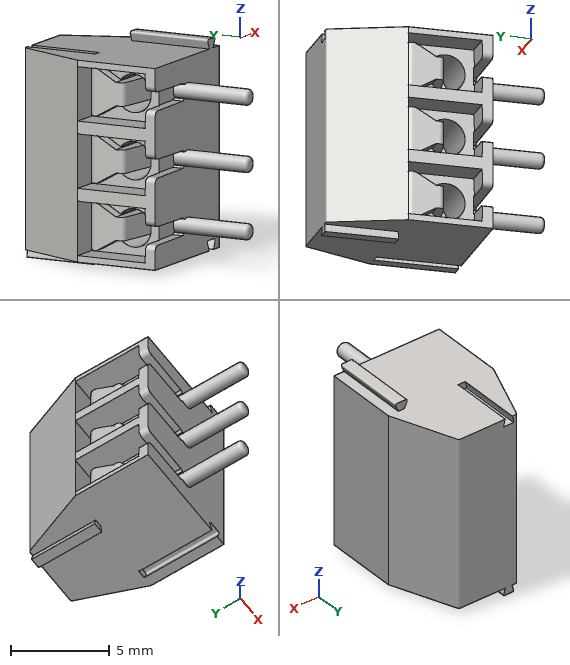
import cadquery as cq
import math


pole_count = 3
body_width = 6.8
body_height = 10.5
pole_pitch = body_height / pole_count
body_length = 8.42
total_length = 12.1
shoulder_y = 4.51
nose_width = 3.75
nose_radius = 0.15
left_x = -body_width / 2

pocket_depth = 1.5
pocket_height = 2.83
pocket_wall = 0.59
pocket_bulge = 0.042

hole_radius = 1.0
hole_y = 2.06

leaf_front_x = left_x + 0.87
leaf_end_y = 4.32
leaf_end_radius = 0.34
leaf_bend_y = 2.59
leaf_bend_radius = 0.29
leaf_slope = math.radians(8)
leaf_tip_y = 1.82
leaf_wide_height = 2.5
leaf_narrow_height = 1.22
leaf_fan_start_y = 3.88
leaf_fan_end_y = 2.76

bend_centre_x = leaf_front_x + leaf_bend_radius
bend_end_x = bend_centre_x - leaf_bend_radius * math.sin(leaf_slope)
bend_end_y = leaf_bend_y - leaf_bend_radius * math.cos(leaf_slope)
hole_bottom_x = bend_end_x + (bend_end_y - leaf_tip_y) / math.tan(leaf_slope)

slot_mouth_height = 0.98
slot_inner_height = 0.92
slot_lip_radius = 0.29
slot_shoulder_x = -0.46
slot_neck_x = -0.31
slot_neck_height = 0.74

pin_x = 0.02
pin_radius = 0.42
pin_tip_radius = 0.22
pin_length = total_length - body_length

rail_x = 2.55
rail_foot_width = 0.4
rail_top_width = 0.85
rail_height = 0.52
rail_radius = 0.1
socket_clearance = 0.04

key_x = -1.34
key_neck_width = 0.45
key_foot_width = 0.63
key_flare_height = 0.34
key_height = 0.44


def make_body():
    """Block whose sides taper towards a rounded nose."""
    half_width = body_width / 2
    half_nose = nose_width / 2
    outline = [
        (-half_width, 0),
        (half_width, 0),
        (half_width, shoulder_y),
        (half_nose, body_length),
        (-half_nose, body_length),
        (-half_width, shoulder_y),
    ]
    block = cq.Workplane("XY").polyline(outline).close().extrude(body_height)
    return block.faces(">Y").edges("|Z").fillet(nose_radius)


def bar_along_y(outline, start_y, end_y):
    """Solid with an (x, z) outline, running from start_y to end_y."""
    plane = cq.Workplane("XZ", origin=(0, start_y, 0))
    return plane.polyline(outline).close().extrude(start_y - end_y)


def dovetail(base_z, clearance):
    """Dovetail bar widening upwards from base_z, beside the wide body end."""
    half_foot = rail_foot_width / 2 + clearance
    half_top = rail_top_width / 2 + clearance
    top_z = base_z + rail_height + clearance
    outline = [
        (rail_x - half_foot, base_z),
        (rail_x + half_foot, base_z),
        (rail_x + half_top, top_z),
        (rail_x - half_top, top_z),
    ]
    bar = bar_along_y(outline, 0, shoulder_y)
    return bar.faces(">Z").edges("|Y").fillet(rail_radius)


def key_bar(base_z):
    """Flared bar hanging from base_z, beside the tapered body end."""
    half_neck = key_neck_width / 2
    half_foot = key_foot_width / 2
    outline = [
        (key_x - half_neck, base_z),
        (key_x - half_foot, base_z - key_flare_height),
        (key_x - half_foot, base_z - key_height),
        (key_x + half_foot, base_z - key_height),
        (key_x + half_foot, base_z - key_flare_height),
        (key_x + half_neck, base_z),
    ]
    return bar_along_y(outline, shoulder_y, body_length)


def pocket(pole_z):
    """Wire pocket with a slightly bowed lower wall, and the hole in its floor."""
    half_height = pocket_height / 2
    recess = (
        cq.Workplane("YZ", origin=(left_x, 0, pole_z))
        .moveTo(pocket_wall, -half_height)
        .lineTo(shoulder_y, -half_height)
        .lineTo(shoulder_y, half_height)
        .lineTo(pocket_wall, half_height)
        .threePointArc((pocket_wall - pocket_bulge, 0), (pocket_wall, -half_height))
        .close()
        .extrude(pocket_depth)
    )
    hole = (
        cq.Workplane("YZ", origin=(left_x, hole_y, pole_z))
        .circle(hole_radius)
        .extrude(hole_bottom_x - left_x)
    )
    return recess.union(hole)


def leaf(pole_z):
    """Fan-shaped leaf, rounded at its wide end and bent into the hole."""
    bend_middle = (math.pi / 2 - leaf_slope) / 2
    side = (
        cq.Workplane("XY", origin=(0, 0, pole_z))
        .moveTo(hole_bottom_x, leaf_end_y)
        .lineTo(leaf_front_x + leaf_end_radius, leaf_end_y)
        .radiusArc((leaf_front_x, leaf_end_y - leaf_end_radius), -leaf_end_radius)
        .lineTo(leaf_front_x, leaf_bend_y)
        .threePointArc(
            (
                bend_centre_x - leaf_bend_radius * math.cos(bend_middle),
                leaf_bend_y - leaf_bend_radius * math.sin(bend_middle),
            ),
            (bend_end_x, bend_end_y),
        )
        .lineTo(hole_bottom_x, leaf_tip_y)
        .close()
        .extrude(leaf_wide_height / 2, both=True)
    )
    half_wide = leaf_wide_height / 2
    half_narrow = leaf_narrow_height / 2
    fan_outline = [
        (leaf_end_y, -half_wide),
        (leaf_end_y, half_wide),
        (leaf_fan_start_y, half_wide),
        (leaf_fan_end_y, half_narrow),
        (leaf_tip_y, half_narrow),
        (leaf_tip_y, -half_narrow),
        (leaf_fan_end_y, -half_narrow),
        (leaf_fan_start_y, -half_wide),
    ]
    fan = (
        cq.Workplane("YZ", origin=(left_x, 0, pole_z))
        .polyline(fan_outline)
        .close()
        .extrude(hole_bottom_x - left_x)
    )
    return side.intersect(fan)


def slot(pole_z):
    """Slot from the -X side to the pin, with rounded lips and a narrow neck."""
    half_entry = slot_mouth_height / 2
    half_inner = slot_inner_height / 2
    half_neck = slot_neck_height / 2
    lip_end_x = left_x + slot_lip_radius
    half_lips = half_entry + slot_lip_radius
    return (
        cq.Workplane("XZ", origin=(0, 0, pole_z))
        .moveTo(left_x, -half_lips)
        .radiusArc((lip_end_x, -half_entry), slot_lip_radius)
        .lineTo(slot_shoulder_x, -half_inner)
        .lineTo(slot_neck_x, -half_neck)
        .lineTo(pin_x, -half_neck)
        .lineTo(pin_x, half_neck)
        .lineTo(slot_neck_x, half_neck)
        .lineTo(slot_shoulder_x, half_inner)
        .lineTo(lip_end_x, half_entry)
        .radiusArc((left_x, half_lips), slot_lip_radius)
        .close()
        .extrude(-pocket_wall)
    )


def pin(pole_z):
    """Round pin, rooted at the slot floor, with a rounded tip."""
    return (
        cq.Workplane("XZ", origin=(pin_x, pocket_wall, pole_z))
        .circle(pin_radius)
        .extrude(pocket_wall + pin_length)
        .faces("<Y")
        .edges()
        .fillet(pin_tip_radius)
    )


result = make_body()
result = result.union(dovetail(body_height, 0)).union(key_bar(0))
result = result.cut(dovetail(0, socket_clearance)).cut(key_bar(body_height))
for pole in range(pole_count):
    pole_z = (pole + 0.5) * pole_pitch
    result = result.cut(pocket(pole_z)).cut(slot(pole_z))
    result = result.union(leaf(pole_z)).union(pin(pole_z))